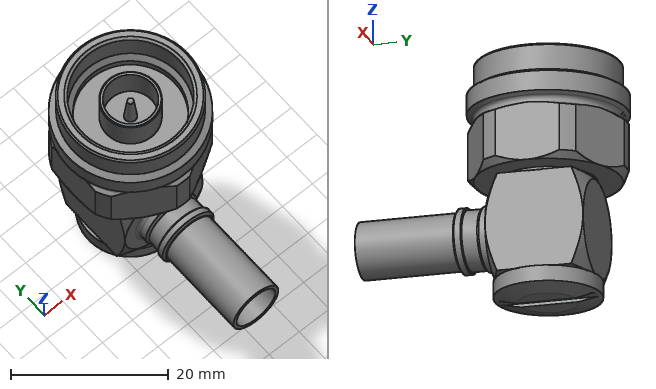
import cadquery as cq
import math


BLOCK_SIDE = 13.0
BLOCK_HALF = BLOCK_SIDE / 2
BLOCK_FACE_RADIUS = 6.45
BLOCK_CORNER_ANGLE = 30.0

CAP_RADIUS = 7.0
CAP_FLAT_RADIUS = 3.9
CAP_RIM_Z = -8.57
CAP_BOTTOM_Z = -9.17
CAP_SLOT_WIDTH = 1.6
CAP_SLOT_DEPTH = 0.47

NUT_RADIUS = 10.4
NUT_WAIST_RADIUS = 9.5
HEX_ACROSS_FLATS = 19.0
HEX_HALF_ANGLE = 30.0
NUT_BOTTOM_Z = 6.93
HEX_TOP_Z = 14.04
NUT_CHAMFER_SLOPE = math.tan(math.radians(30))
GROOVE_EDGE_RADIUS = 9.83
GROOVE_ROOT_RADIUS = 9.4
RING_BOTTOM_Z = 15.82
RING_TOP_Z = 18.41
NUT_TOP_Z = 22.43
NUT_TOP_CHAMFER = 0.25
NECK_RADIUS = 6.3

BORE_RADIUS = 8.03
BORE_LEAD_IN_RADIUS = 8.44
BORE_LEAD_IN_DEPTH = 0.22
BORE_SHOULDER_Z = 18.55
FLOOR_RADIUS = 7.32
FLOOR_Z = 16.8

CONTACT_RADIUS = 4.0
CONTACT_BORE_RADIUS = 3.52
CONTACT_TOP_Z = 21.35
CONTACT_CHAMFER = 0.12
PIN_BASE_RADIUS = 0.86
PIN_TIP_RADIUS = 0.43
PIN_TIP_Z = 20.85
PIN_DOME_HEIGHT = 0.27

ENTRY_RADIUS = 4.25
ENTRY_FILLET = 0.5
ENTRY_NECK_RADIUS = 3.97
ENTRY_SHOULDER_END = 8.28
ENTRY_SHOULDER_CHAMFER_LENGTH = 0.3
FLANGE_START = 10.3
FLANGE_END = 11.5
FLANGE_START_CHAMFER = 0.1
FLANGE_RADIUS = 4.28
FLANGE_END_CHAMFER_LENGTH = 0.25
FLANGE_FACE_RADIUS = 3.95
SLEEVE_RADIUS = 3.75
SLEEVE_BORE_RADIUS = 3.22
SLEEVE_END = 24.5

POST_RADIUS = 2.74
POST_TIP_RADIUS = 2.28
POST_BORE_RADIUS = 2.08
POST_END = 17.0
POST_TAPER_LENGTH = 1.0


def turned(profile):
    """Close a half profile and revolve it about the vertical axis of its workplane.

    Profiles on "XZ" are (radius, z) and turn about Z; those on "XY" are (radius, y) and turn about Y.
    """
    return profile.close().revolve(360, (0, 0, 0), (0, 1, 0))


def make_block():
    block = cq.Workplane("XY").box(BLOCK_SIDE, BLOCK_SIDE, BLOCK_SIDE)
    outer_radius = BLOCK_SIDE
    cone_drop = (outer_radius - BLOCK_FACE_RADIUS) * math.tan(math.radians(BLOCK_CORNER_ANGLE))
    envelope = turned(
        cq.Workplane("XY")
        .moveTo(0, -BLOCK_HALF)
        .lineTo(BLOCK_FACE_RADIUS, -BLOCK_HALF)
        .lineTo(outer_radius, -BLOCK_HALF + cone_drop)
        .lineTo(outer_radius, BLOCK_HALF - cone_drop)
        .lineTo(BLOCK_FACE_RADIUS, BLOCK_HALF)
        .lineTo(0, BLOCK_HALF)
    )
    return block.intersect(envelope)


def make_cap():
    cap = turned(
        cq.Workplane("XZ")
        .moveTo(0, -BLOCK_HALF)
        .lineTo(CAP_RADIUS, -BLOCK_HALF)
        .lineTo(CAP_RADIUS, CAP_RIM_Z)
        .lineTo(CAP_FLAT_RADIUS, CAP_BOTTOM_Z)
        .lineTo(0, CAP_BOTTOM_Z)
    )
    slot = (
        cq.Workplane("XY", origin=(0, 0, CAP_BOTTOM_Z))
        .rect(CAP_SLOT_WIDTH, 2 * CAP_RADIUS)
        .extrude(CAP_SLOT_DEPTH)
    )
    return cap.cut(slot)


def make_nut_body():
    """Turned outside of the nut, with the hexagon cut below the groove."""
    bevel = NUT_RADIUS - NUT_WAIST_RADIUS
    ring_top_bevel = bevel * NUT_CHAMFER_SLOPE
    groove_lower_z = HEX_TOP_Z + (NUT_RADIUS - GROOVE_EDGE_RADIUS) * NUT_CHAMFER_SLOPE
    groove_upper_z = RING_BOTTOM_Z - (NUT_RADIUS - GROOVE_EDGE_RADIUS) * NUT_CHAMFER_SLOPE
    groove_root_z = (groove_lower_z + groove_upper_z) / 2
    body = turned(
        cq.Workplane("XZ")
        .moveTo(0, NUT_BOTTOM_Z)
        .lineTo(NUT_WAIST_RADIUS, NUT_BOTTOM_Z)
        .lineTo(NUT_RADIUS, NUT_BOTTOM_Z + bevel)
        .lineTo(NUT_RADIUS, HEX_TOP_Z)
        .lineTo(GROOVE_EDGE_RADIUS, groove_lower_z)
        .threePointArc((GROOVE_ROOT_RADIUS, groove_root_z), (GROOVE_EDGE_RADIUS, groove_upper_z))
        .lineTo(NUT_RADIUS, RING_BOTTOM_Z)
        .lineTo(NUT_RADIUS, RING_TOP_Z)
        .lineTo(NUT_WAIST_RADIUS, RING_TOP_Z + ring_top_bevel)
        .lineTo(NUT_WAIST_RADIUS, NUT_TOP_Z - NUT_TOP_CHAMFER)
        .lineTo(NUT_WAIST_RADIUS - NUT_TOP_CHAMFER, NUT_TOP_Z)
        .lineTo(0, NUT_TOP_Z)
    )
    hex_height = groove_root_z - NUT_BOTTOM_Z
    across_corners = HEX_ACROSS_FLATS / math.cos(math.radians(HEX_HALF_ANGLE))
    hexagon = (
        cq.Workplane("XY", origin=(0, 0, NUT_BOTTOM_Z))
        .transformed(rotate=(0, 0, HEX_HALF_ANGLE))
        .polygon(6, across_corners)
        .extrude(hex_height)
    )
    outside_hexagon = (
        cq.Workplane("XY", origin=(0, 0, NUT_BOTTOM_Z))
        .circle(across_corners)
        .extrude(hex_height)
        .cut(hexagon)
    )
    return body.cut(outside_hexagon)


def make_nut_bore():
    shoulder_drop = BORE_RADIUS - FLOOR_RADIUS
    return turned(
        cq.Workplane("XZ")
        .moveTo(0, FLOOR_Z)
        .lineTo(FLOOR_RADIUS, FLOOR_Z)
        .lineTo(FLOOR_RADIUS, BORE_SHOULDER_Z - shoulder_drop)
        .lineTo(BORE_RADIUS, BORE_SHOULDER_Z)
        .lineTo(BORE_RADIUS, NUT_TOP_Z - BORE_LEAD_IN_DEPTH)
        .lineTo(BORE_LEAD_IN_RADIUS, NUT_TOP_Z)
        .lineTo(0, NUT_TOP_Z)
    )


def make_contact_tube():
    return (
        cq.Workplane("XY", origin=(0, 0, FLOOR_Z))
        .circle(CONTACT_RADIUS)
        .extrude(CONTACT_TOP_Z - FLOOR_Z)
        .faces(">Z")
        .chamfer(CONTACT_CHAMFER)
        .faces(">Z")
        .workplane()
        .circle(CONTACT_BORE_RADIUS)
        .cutBlind(FLOOR_Z - CONTACT_TOP_Z)
    )


def make_pin():
    """Tapered centre pin with a domed tip."""
    dome_radius = (PIN_TIP_RADIUS**2 + PIN_DOME_HEIGHT**2) / (2 * PIN_DOME_HEIGHT)
    return turned(
        cq.Workplane("XZ")
        .moveTo(0, FLOOR_Z)
        .lineTo(PIN_BASE_RADIUS, FLOOR_Z)
        .lineTo(PIN_TIP_RADIUS, PIN_TIP_Z)
        .radiusArc((0, PIN_TIP_Z + PIN_DOME_HEIGHT), -dome_radius)
    )


def make_neck():
    return (
        cq.Workplane("XY", origin=(0, 0, BLOCK_HALF))
        .circle(NECK_RADIUS)
        .extrude(NUT_BOTTOM_Z - BLOCK_HALF)
    )


def make_cable_entry():
    """Stepped collar, flange and crimp sleeve, bored open at the cable end."""
    fillet_reach = ENTRY_FILLET * (1 - math.sqrt(0.5))
    entry = turned(
        cq.Workplane("XY")
        .moveTo(0, -BLOCK_HALF)
        .lineTo(ENTRY_RADIUS + ENTRY_FILLET, -BLOCK_HALF)
        .threePointArc(
            (ENTRY_RADIUS + fillet_reach, -BLOCK_HALF - fillet_reach),
            (ENTRY_RADIUS, -BLOCK_HALF - ENTRY_FILLET),
        )
        .lineTo(ENTRY_RADIUS, -ENTRY_SHOULDER_END + ENTRY_SHOULDER_CHAMFER_LENGTH)
        .lineTo(ENTRY_NECK_RADIUS, -ENTRY_SHOULDER_END)
        .lineTo(ENTRY_NECK_RADIUS, -FLANGE_START)
        .lineTo(FLANGE_RADIUS - FLANGE_START_CHAMFER, -FLANGE_START)
        .lineTo(FLANGE_RADIUS, -FLANGE_START - FLANGE_START_CHAMFER)
        .lineTo(FLANGE_RADIUS, -FLANGE_END + FLANGE_END_CHAMFER_LENGTH)
        .lineTo(FLANGE_FACE_RADIUS, -FLANGE_END)
        .lineTo(SLEEVE_RADIUS, -FLANGE_END)
        .lineTo(SLEEVE_RADIUS, -SLEEVE_END)
        .lineTo(0, -SLEEVE_END)
    )
    bore = (
        cq.Workplane("XZ", origin=(0, -FLANGE_END, 0))
        .circle(SLEEVE_BORE_RADIUS)
        .extrude(SLEEVE_END - FLANGE_END)
    )
    return entry.cut(bore)


def make_cable_post():
    return turned(
        cq.Workplane("XY")
        .moveTo(POST_BORE_RADIUS, -FLANGE_END)
        .lineTo(POST_RADIUS, -FLANGE_END)
        .lineTo(POST_RADIUS, -POST_END + POST_TAPER_LENGTH)
        .lineTo(POST_TIP_RADIUS, -POST_END)
        .lineTo(POST_BORE_RADIUS, -POST_END)
    )


nut = make_nut_body().cut(make_nut_bore())
nut = nut.union(make_contact_tube()).union(make_pin())
elbow = make_block().union(make_cap()).union(make_neck())
cable_end = make_cable_entry().union(make_cable_post())
result = elbow.union(nut).union(cable_end)